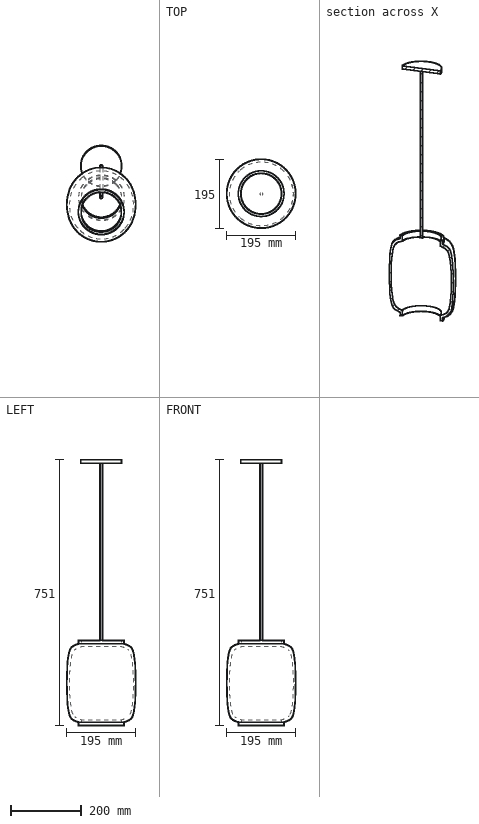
import cadquery as cq

total_height = 751.0

canopy_radius = 58.0
canopy_thickness = 10.5
cord_radius = 4.0

shade_height = 241.0
shade_radius = 97.5
collar_radius = 64.5
collar_height = 10.0
wall = 7.5

shoulder_radius = 93.0
shoulder_drop = 33.0
shoulder_mid_radius = 85.5
shoulder_mid_drop = 11.0
collar_slope = 0.3

mid_height = shade_height / 2
body_half_height = mid_height - collar_height
canopy_bottom = total_height - canopy_thickness


def half_shell(inset):
    """Solid upper half of the shade, from its middle plane up, with the curved body drawn in by inset."""
    body_top = body_half_height - inset
    profile = (
        cq.Workplane("XZ")
        .moveTo(0, 0)
        .lineTo(shade_radius - inset, 0)
        .spline(
            [
                (shoulder_radius - inset, body_top - shoulder_drop),
                (shoulder_mid_radius - inset, body_top - shoulder_mid_drop),
                (collar_radius - inset, body_top),
            ],
            tangents=[(0, 1), (-1, collar_slope)],
            includeCurrent=True,
        )
        .lineTo(collar_radius - inset, mid_height)
        .lineTo(0, mid_height)
        .close()
    )
    return profile.revolve(360, (0, 0, 0), (0, 1, 0))


def make_shade():
    """Hollow shade, mirrored about its middle and open through both collars."""
    upper_half = half_shell(0).cut(half_shell(wall))
    lower_half = upper_half.mirror("XY")
    return upper_half.union(lower_half).translate((0, 0, mid_height))


def make_canopy():
    """Flat round ceiling plate."""
    return cq.Workplane("XY", origin=(0, 0, canopy_bottom)).circle(canopy_radius).extrude(canopy_thickness)


def make_cord():
    """Straight cord from the underside of the canopy to the level of the shade's upper rim."""
    cord_length = canopy_bottom - shade_height
    return cq.Workplane("XY", origin=(0, 0, shade_height)).circle(cord_radius).extrude(cord_length)


canopy = make_canopy()
cord = make_cord()
shade = make_shade()

result = cq.Compound.makeCompound([canopy.val(), cord.val(), shade.val()])